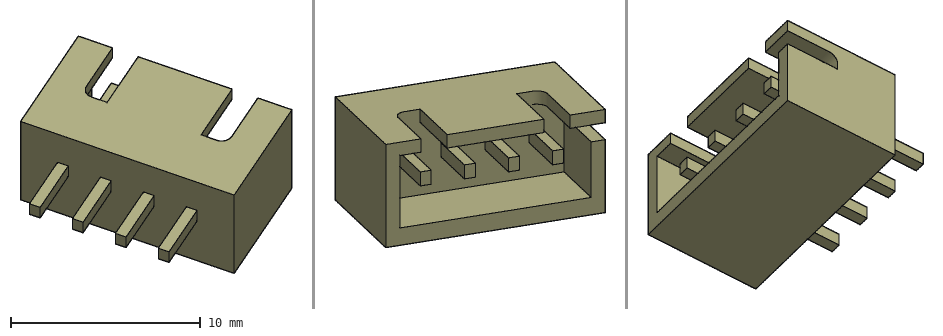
import cadquery as cq

housing_width = 12.5
housing_depth = 7.0
housing_height = 5.9

side_wall = 0.8
top_wall = 0.76
bottom_wall = 1.0
floor_thickness = 3.25

pin_count = 4
pin_pitch = 2.51
pin_width = 0.62
pin_height = 0.8
pin_tail = 3.4
pin_recess = 0.5
pin_z = 0.44

key_slot_inner_x = 2.75
key_slot_width = 1.5
key_slot_depth = 3.75
key_slot_radius = 0.6

side_slot_height = 0.96
side_slot_depth = 3.25
side_slot_radius = 0.55

mating_y = housing_depth / 2
back_y = -housing_depth / 2
top_z = housing_height / 2


def box(x_min, x_max, y_min, y_max, z_min, z_max):
    """Axis-aligned box between the given limits."""
    size = (x_max - x_min, y_max - y_min, z_max - z_min)
    return cq.Workplane("XY").box(*size, centered=False).translate((x_min, y_min, z_min))


def make_housing():
    """Box with a cavity open toward +Y."""
    outer = cq.Workplane("XY").box(housing_width, housing_depth, housing_height)
    cavity_half_width = housing_width / 2 - side_wall
    cavity = box(
        -cavity_half_width, cavity_half_width,
        back_y + floor_thickness, mating_y,
        bottom_wall - top_z, top_z - top_wall,
    )
    return outer.cut(cavity)


def make_key_slot():
    """Top-wall slot on the +X half, rounded at its outer closed corner."""
    outer_x = key_slot_inner_x + key_slot_width
    slot = box(
        key_slot_inner_x, outer_x,
        mating_y - key_slot_depth, mating_y,
        top_z - top_wall, top_z,
    )
    return slot.edges("|Z and >X and <Y").fillet(key_slot_radius)


def make_side_slot():
    """Slot in the -X wall just under the top wall, rounded at its upper closed corner."""
    slot_top = top_z - top_wall
    slot = box(
        -housing_width / 2, side_wall - housing_width / 2,
        mating_y - side_slot_depth, mating_y,
        slot_top - side_slot_height, slot_top,
    )
    return slot.edges("|X and >Z and <Y").fillet(side_slot_radius)


def make_pin(x):
    """Straight pin through the cavity floor, centred on x."""
    return box(
        x - pin_width / 2, x + pin_width / 2,
        back_y - pin_tail, mating_y - pin_recess,
        pin_z - pin_height / 2, pin_z + pin_height / 2,
    )


key_slot = make_key_slot()
result = make_housing().cut(key_slot).cut(key_slot.mirror("YZ")).cut(make_side_slot())

for index in range(pin_count):
    pin_x = (index - (pin_count - 1) / 2) * pin_pitch
    result = result.union(make_pin(pin_x))